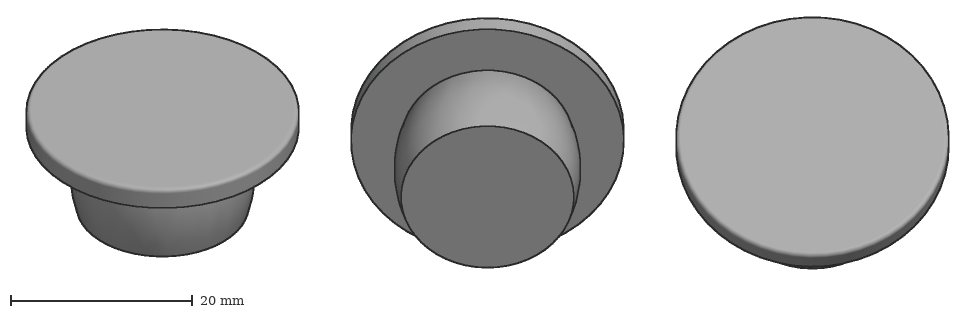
import cadquery as cq

total_height = 13.2
flange_diameter = 30.0
flange_thickness = 2.5
flange_edge_radius = 0.5
plug_end_diameter = 19.0
plug_middle_diameter = 20.5

plug_height = total_height - flange_thickness


def make_flange():
    """Round head with a rounded upper rim, sitting on top of the plug."""
    disc = (
        cq.Workplane("XY")
        .workplane(offset=plug_height)
        .circle(flange_diameter / 2)
        .extrude(flange_thickness)
    )
    return disc.faces(">Z").edges().fillet(flange_edge_radius)


def make_plug():
    """Barrel-shaped plug, widest halfway up, revolved about Z."""
    end_radius = plug_end_diameter / 2
    middle_radius = plug_middle_diameter / 2
    return (
        cq.Workplane("XZ")
        .lineTo(end_radius, 0)
        .threePointArc((middle_radius, plug_height / 2), (end_radius, plug_height))
        .lineTo(0, plug_height)
        .close()
        .revolve(360, (0, 0, 0), (0, 1, 0))
    )


result = make_flange().union(make_plug())